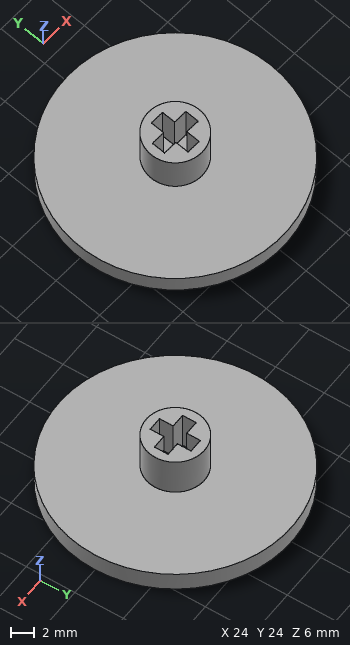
import cadquery as cq

disc_diameter = 24.0
disc_thickness = 2.0
stem_diameter = 6.0
total_height = 6.0
cross_span = 4.2
cross_arm_width = 1.4

stem_height = total_height - disc_thickness


def make_disc():
    """Plain round plate that carries the stem."""
    return cq.Workplane("XY").circle(disc_diameter / 2).extrude(disc_thickness)


def make_cross():
    """Cross-shaped axle socket, as tall as the stem."""
    seat = cq.Workplane("XY").workplane(offset=disc_thickness)
    arm_along_x = seat.rect(cross_span, cross_arm_width).extrude(stem_height)
    arm_along_y = seat.rect(cross_arm_width, cross_span).extrude(stem_height)
    return arm_along_x.union(arm_along_y)


def make_stem():
    """Round stem standing on the disc, with the axle socket through it."""
    seat = cq.Workplane("XY").workplane(offset=disc_thickness)
    return seat.circle(stem_diameter / 2).extrude(stem_height).cut(make_cross())


disc = make_disc()
stem = make_stem()

result = cq.Compound.makeCompound([disc.val(), *stem.vals()])